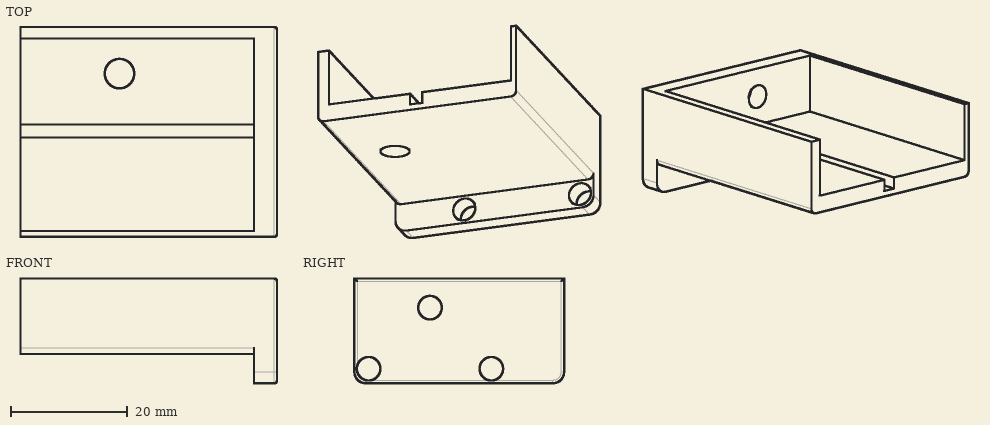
import cadquery as cq

length = 44.0
width = 36.0
height = 18.0
tray_height = 13.0
tray_bottom = height - tray_height
bottom_edge_radius = 1.0

end_wall = 4.0
back_wall = 2.0
front_wall = 0.95
floor_thickness = 3.0
floor_top = tray_bottom + floor_thickness
wall_face_x = length - end_wall

groove_width = 2.2
groove_depth = 2.0
groove_front_y = 17.05

plate_corner_radius = 2.0
outer_edge_round = 0.55

floor_hole_diameter = 5.0
floor_hole_x = 17.0
floor_hole_y = 28.0
plate_hole_diameter = 4.0
upper_hole = (13.0, 13.0)
lower_holes = [(2.45, 2.5), (23.5, 2.5)]


def block(x_range, y_range, z_range):
    """Box spanning the given (low, high) ranges."""
    low, high = zip(x_range, y_range, z_range)
    size = [b - a for a, b in zip(low, high)]
    return cq.Workplane("XY").box(*size, centered=False).translate(low)


tray = block((0, length), (0, width), (tray_bottom, height))
tray = tray.edges("|X and <Z").fillet(bottom_edge_radius)

plate = block((wall_face_x, length), (0, width), (0, height))
plate = plate.edges("|X and <Z").fillet(plate_corner_radius)
plate = plate.faces(">X").edges().fillet(outer_edge_round)

tray = tray.intersect(block((0, wall_face_x), (0, width), (0, height)))
result = tray.union(plate)

pocket = block((0, wall_face_x), (front_wall, width - back_wall), (floor_top, height))
groove = block(
    (0, wall_face_x),
    (groove_front_y, groove_front_y + groove_width),
    (floor_top - groove_depth, floor_top),
)
result = result.cut(pocket).cut(groove)

floor_hole = (
    cq.Workplane("XY")
    .center(floor_hole_x, floor_hole_y)
    .circle(floor_hole_diameter / 2)
    .extrude(height)
)

plate_holes = (
    cq.Workplane("YZ", origin=(wall_face_x, 0, 0))
    .pushPoints([upper_hole] + lower_holes)
    .circle(plate_hole_diameter / 2)
    .extrude(end_wall)
)
result = result.cut(floor_hole).cut(plate_holes)